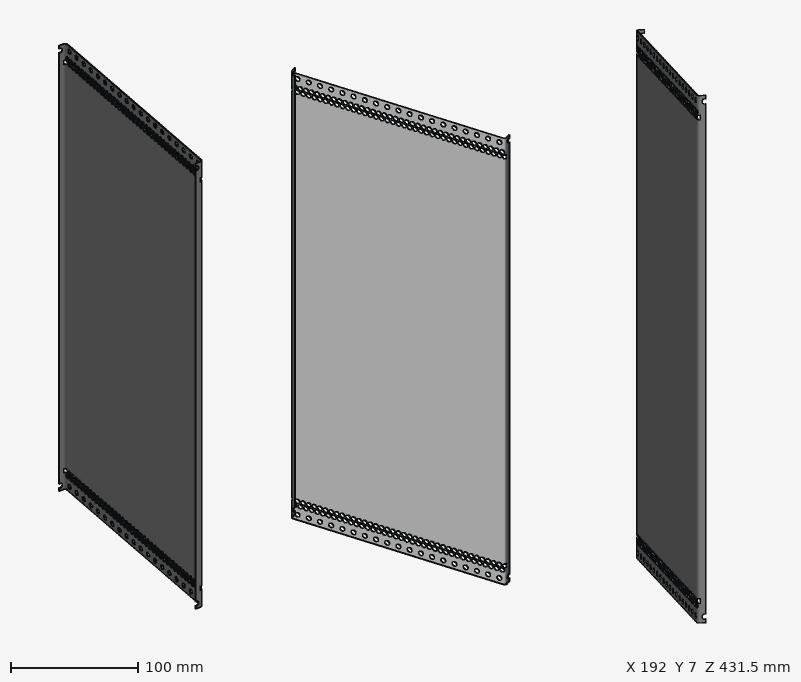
import cadquery as cq
import math

width = 192.0
depth = 7.0
height = 431.5
sheet = 0.95
bend_radius = 2.5
inner_radius = bend_radius - sheet
back = depth / 2
front = -depth / 2

mount_diameter = 4.2
mount_count = 19
mount_span = 180.0
mount_pitch = mount_span / (mount_count - 1)
mount_inset = mount_pitch / 2

vent_diameter = 3.95
vent_pitch = mount_pitch / 2
vent_row_step = vent_pitch * math.sin(math.radians(60))
mount_to_vent = 8.5
outer_vent_count = 38
inner_vent_count = outer_vent_count + 1
outer_vent_inset = mount_inset + mount_to_vent
inner_vent_inset = outer_vent_inset + vent_row_step

notch_radius = 2.0
notch_depth = 3.0


def channel():
    """Folded sheet: plate at the back, flanges reaching forward."""
    outer = (
        cq.Workplane("XY")
        .box(width, depth, height)
        .edges("|Z and >Y")
        .fillet(bend_radius)
    )
    inner = (
        cq.Workplane("XY")
        .box(width - 2 * sheet, depth, height)
        .edges("|Z and >Y")
        .fillet(inner_radius)
        .translate((0, -sheet, 0))
    )
    return outer.cut(inner)


def hole_row(diameter, pitch, count, inset):
    """Cutters for one centred row along each end, as deep as the folds."""
    points = []
    for end in (-1, 1):
        for i in range(count):
            x = (i - (count - 1) / 2) * pitch
            points.append((x, end * (height / 2 - inset)))
    return (
        cq.Workplane("XZ", origin=(0, back, 0))
        .pushPoints(points)
        .circle(diameter / 2)
        .extrude(bend_radius)
    )


def edge_notches():
    """Cutters running along X through both flanges, one near each end."""
    centre_y = front + notch_depth - notch_radius
    points = [(centre_y, end * (height / 2 - mount_inset)) for end in (-1, 1)]
    return (
        cq.Workplane("YZ")
        .pushPoints(points)
        .circle(notch_radius)
        .extrude(width / 2, both=True)
    )


result = (
    channel()
    .cut(hole_row(mount_diameter, mount_pitch, mount_count, mount_inset))
    .cut(hole_row(vent_diameter, vent_pitch, outer_vent_count, outer_vent_inset))
    .cut(hole_row(vent_diameter, vent_pitch, inner_vent_count, inner_vent_inset))
    .cut(edge_notches())
)